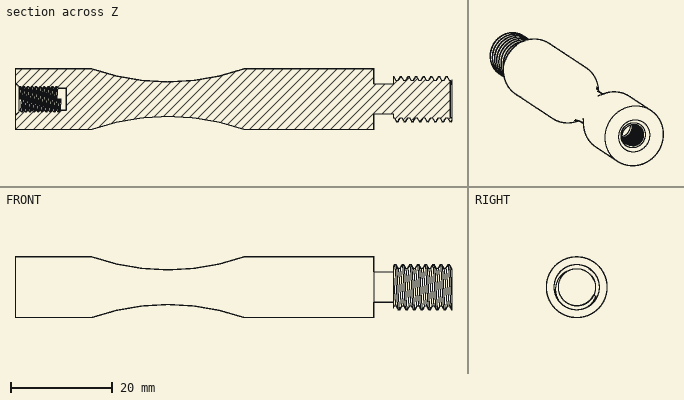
import cadquery as cq
import math

body_diameter = 12.0
grip_length = 15.0
waist_length = 30.0
waist_curve_radius = 45.0
body_length = 70.5
neck_diameter = 6.0
neck_length = 3.8
stud_core_end = 85.5
overall_length = 85.88

stud_crest_diameter = 8.9
stud_root_diameter = 7.45
stud_pitch = 1.5
stud_crest_width = 0.3
stud_root_width = 1.1
stud_lead_in_turns = 0.5
stud_turns = 7.93

hole_minor_diameter = 4.3
hole_major_diameter = 5.0
hole_pitch = 0.8
hole_depth = 10.0
hole_thread_turns = 10
hole_thread_start_angle = -90.0
groove_mouth_width = 0.6
groove_floor_width = 0.15
countersink_diameter = 6.4
countersink_depth = (countersink_diameter - hole_major_diameter) / 2

thread_overlap = 0.1
body_radius = body_diameter / 2
stud_start = body_length + neck_length


def axial_plane(x):
    """Plane across the axis at x: local X is +Y, local Y is +Z, normal is +X."""
    return cq.Plane(origin=(x, 0, 0), xDir=(0, 1, 0), normal=(1, 0, 0))


def disc(x_start, x_end, diameter):
    """Cylinder about the X axis between two stations."""
    return cq.Workplane(axial_plane(x_start)).circle(diameter / 2).extrude(x_end - x_start)


def helical_thread(x_start, start_angle, pitch, turns, base_radius, base_width, tip_radius, tip_width):
    """Right-hand trapezoidal helix about X; start_angle is measured from +Y towards +Z."""
    flank_slope = (base_width - tip_width) / 2 / (tip_radius - base_radius)
    inner_radius = base_radius - thread_overlap
    inner_half_width = base_width / 2 + flank_slope * thread_overlap
    corners = [
        (inner_radius, -inner_half_width),
        (tip_radius, -tip_width / 2),
        (tip_radius, tip_width / 2),
        (inner_radius, inner_half_width),
    ]
    edges = [
        cq.Wire.makeHelix(pitch, pitch * turns, radius, center=cq.Vector(0, 0, offset)).Edges()[0]
        for radius, offset in corners
    ]
    sides = [cq.Face.makeRuledSurface(edges[i - 1], edges[i]) for i in range(len(edges))]
    ends = [
        cq.Face.makeFromWires(cq.Wire.makePolygon([edge.positionAt(end) for edge in edges], close=True))
        for end in (0, 1)
    ]
    thread = cq.Solid.makeSolid(cq.Shell.makeShell(sides + ends))
    turned = thread.rotate(cq.Vector(), cq.Vector(0, 0, 1), start_angle)
    return cq.Workplane(turned.moved(cq.Location(axial_plane(x_start))))


def make_body():
    """Cylindrical body with an arc-shaped waist, and the plain neck behind it."""
    waist_end = grip_length + waist_length
    waist_middle = grip_length + waist_length / 2
    waist_depth = waist_curve_radius - math.sqrt(waist_curve_radius**2 - (waist_length / 2) ** 2)
    profile = (
        cq.Workplane("XY")
        .lineTo(0, body_radius)
        .lineTo(grip_length, body_radius)
        .threePointArc((waist_middle, body_radius - waist_depth), (waist_end, body_radius))
        .lineTo(body_length, body_radius)
        .lineTo(body_length, 0)
        .close()
    )
    body = profile.revolve(360, (0, 0, 0), (1, 0, 0))
    return body.union(disc(body_length, stud_start, neck_diameter))


def make_stud():
    """Threaded stud: a core with a helical ridge, trimmed flat at both end planes."""
    thread_start = stud_start - stud_lead_in_turns * stud_pitch
    core = disc(thread_start - stud_pitch, stud_core_end, stud_root_diameter)
    ridge = helical_thread(
        thread_start,
        -360 * stud_lead_in_turns,
        stud_pitch,
        stud_turns + stud_lead_in_turns,
        stud_root_diameter / 2,
        stud_root_width,
        stud_crest_diameter / 2,
        stud_crest_width,
    )
    envelope = disc(stud_start, overall_length, body_diameter)
    return core.union(ridge).intersect(envelope)


def make_tapped_hole():
    """Blind bore with a countersunk mouth and a helical thread groove."""
    bore = disc(0, hole_depth, hole_minor_diameter)
    countersink = cq.Workplane(cq.Solid.makeCone(
        countersink_diameter / 2,
        hole_major_diameter / 2,
        countersink_depth,
        dir=cq.Vector(1, 0, 0),
    ))
    groove = helical_thread(
        countersink_depth,
        hole_thread_start_angle,
        hole_pitch,
        hole_thread_turns,
        hole_minor_diameter / 2,
        groove_mouth_width,
        hole_major_diameter / 2,
        groove_floor_width,
    )
    return bore.union(countersink).union(groove)


result = make_body().union(make_stud()).cut(make_tapped_hole())